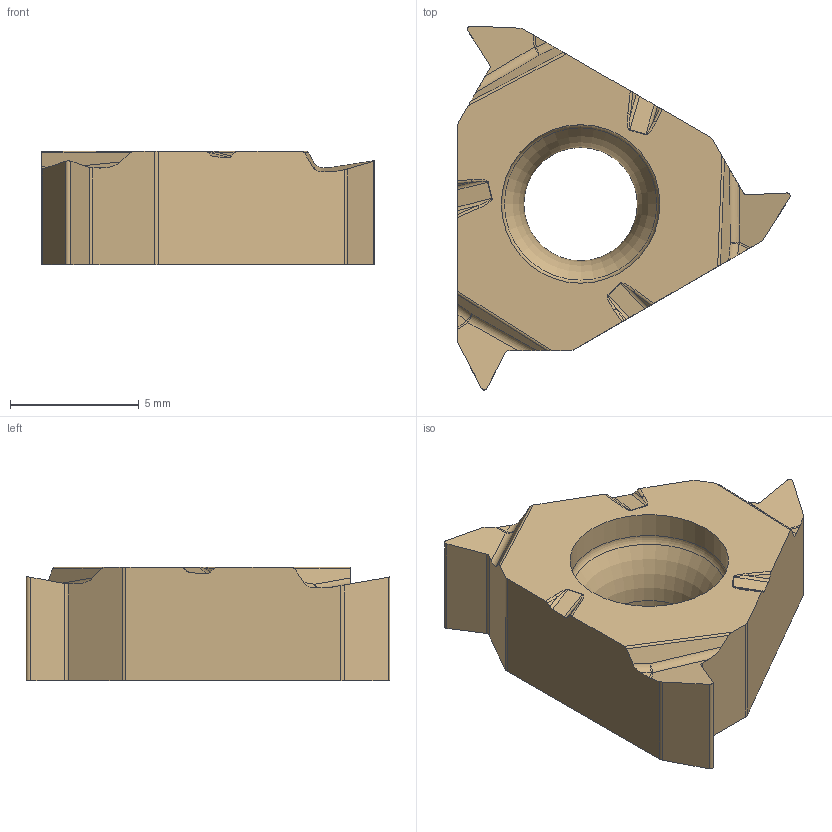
import math

import cadquery as cq

thickness = 4.4
inscribed_radius = 9.525 / 2
tooth_count = 3
tooth_pitch_angle = 360 / tooth_count

tooth_half_angle = math.radians(27.5)
tip_reach = 7.21
tip_radius = 0.12
tip_x = -3.74
shoulder_y = -5.68
outer_corner_radius = 0.3
root_radius = 0.15

bore_radius = 4.4 / 2
recess_radius = 6.15 / 2
flare_radius = 3.4
flare_bottom_z = 0.94
flare_angle = math.radians(39)

tooth_axis_angle = math.radians(30)
rake_angle = math.radians(10)
tip_height = 4.025
groove_rim_x = 5.48
groove_skew = math.radians(2.2)
groove_wall_lean = math.radians(30)
groove_fillet_radius = 0.36
groove_rim_radius = 0.12
ledge_height = 3.605
ledge_tilt = math.radians(7)

notch_inner_end = (-3.52, 0.53)
notch_skew = math.radians(14)
notch_slope = math.radians(10)
notch_floor_width = 0.81
notch_wall_angle = math.radians(45)
notch_fillet_radius = 0.2
notch_rim_radius = 0.15
notch_rim_point = (-4.4, 0.87)

cutter_size = 20.0
notch_cutter_height = 0.6
notch_cutter_length = 2.5

edge_tolerance = 0.01


def turned_point(point, angle):
    """Point turned about the Z axis by an angle in degrees."""
    turn = math.radians(angle)
    x, y = point
    return (
        x * math.cos(turn) - y * math.sin(turn),
        x * math.sin(turn) + y * math.cos(turn),
    )


def for_each_tooth(shape):
    """Copies of a shape turned to every tooth position."""
    return [shape.rotate((0, 0, 0), (0, 0, 1), i * tooth_pitch_angle) for i in range(tooth_count)]


def half_space(point, normal):
    """Large block lying on the side of a plane that its normal points to."""
    plane = cq.Plane(origin=point, normal=normal)
    return cq.Workplane(plane).rect(cutter_size, cutter_size).extrude(cutter_size)


def edges_within(shape, point, reach):
    """Edges that pass within a distance of a point."""
    centre = cq.Vertex.makeVertex(*point)
    return [edge for edge in shape.edges().vals() if edge.distance(centre) < reach]


def make_body():
    flank_slope = math.tan(tooth_half_angle)
    sharp_tip_y = -tip_reach + tip_radius - tip_radius / math.sin(tooth_half_angle)
    flank_start = (-inscribed_radius, sharp_tip_y + (tip_x + inscribed_radius) / flank_slope)
    sharp_tip = (tip_x, sharp_tip_y)
    tooth_root = (tip_x + (shoulder_y - sharp_tip_y) * flank_slope, shoulder_y)
    side_normal = math.radians(-tooth_pitch_angle / 2)
    shoulder_end_x = (inscribed_radius - shoulder_y * math.sin(side_normal)) / math.cos(side_normal)
    shoulder_end = (shoulder_end_x, shoulder_y)

    corners = [
        (flank_start, outer_corner_radius),
        (sharp_tip, tip_radius),
        (tooth_root, root_radius),
        (shoulder_end, outer_corner_radius),
    ]
    turns = [i * tooth_pitch_angle for i in range(tooth_count)]
    outline = [turned_point(point, turn) for turn in turns for point, _ in corners]
    body = cq.Workplane("XY").polyline(outline).close().extrude(thickness)
    for point, radius in corners:
        for turn in turns:
            x, y = turned_point(point, turn)
            edge = cq.selectors.NearestToPointSelector((x, y, thickness / 2))
            body = body.edges("|Z").edges(edge).fillet(radius)
    return body


def make_screw_hole():
    flare_top_radius = bore_radius + flare_radius * (1 - math.cos(flare_angle))
    blend_radius = (recess_radius - flare_top_radius) / (1 - math.cos(flare_angle))
    flare_top_z = flare_bottom_z + flare_radius * math.sin(flare_angle)
    blend_top_z = flare_top_z + blend_radius * math.sin(flare_angle)
    half_angle = flare_angle / 2
    flare_middle = (
        bore_radius + flare_radius * (1 - math.cos(half_angle)),
        flare_bottom_z + flare_radius * math.sin(half_angle),
    )
    blend_middle = (
        recess_radius - blend_radius * (1 - math.cos(half_angle)),
        blend_top_z - blend_radius * math.sin(half_angle),
    )
    return (
        cq.Workplane("XZ")
        .lineTo(bore_radius, 0)
        .lineTo(bore_radius, flare_bottom_z)
        .threePointArc(flare_middle, (flare_top_radius, flare_top_z))
        .threePointArc(blend_middle, (recess_radius, blend_top_z))
        .lineTo(recess_radius, thickness)
        .lineTo(0, thickness)
        .close()
        .revolve(360, (0, 0, 0), (0, 1, 0))
    )


def make_groove_cutter():
    tip_x_turned, tip_y_turned = turned_point((tip_x, -tip_reach), tooth_pitch_angle)
    rake_normal = (
        -math.sin(rake_angle) * math.cos(tooth_axis_angle),
        -math.sin(rake_angle) * math.sin(tooth_axis_angle),
        math.cos(rake_angle),
    )
    wall_normal = (
        math.cos(groove_wall_lean) * math.cos(groove_skew),
        -math.cos(groove_wall_lean) * math.sin(groove_skew),
        math.sin(groove_wall_lean),
    )
    side_normal = tooth_axis_angle - math.pi / 2
    ledge_point = (
        inscribed_radius * math.cos(side_normal),
        inscribed_radius * math.sin(side_normal),
        ledge_height,
    )
    ledge_normal = (
        -math.sin(ledge_tilt) * math.cos(side_normal),
        -math.sin(ledge_tilt) * math.sin(side_normal),
        math.cos(ledge_tilt),
    )
    above_rake = half_space((tip_x_turned, tip_y_turned, tip_height), rake_normal)
    above_ledge = half_space(ledge_point, ledge_normal)
    beyond_wall = half_space((groove_rim_x, 0, thickness), wall_normal)
    groove = above_rake.intersect(above_ledge).intersect(beyond_wall)
    floor_corner = groove.vertices("<Z").val().toTuple()
    floor_edges = edges_within(groove, floor_corner, edge_tolerance)
    return groove.newObject(floor_edges).fillet(groove_fillet_radius)


def make_notch_cutter():
    x, y = notch_inner_end
    outward = (
        -math.cos(notch_slope) * math.cos(notch_skew),
        -math.cos(notch_slope) * math.sin(notch_skew),
        -math.sin(notch_slope),
    )
    across = (math.sin(notch_skew), -math.cos(notch_skew), 0)
    plane = cq.Plane(origin=(x, y, thickness), xDir=across, normal=outward)
    floor_half = notch_floor_width / 2
    top_half = floor_half + notch_cutter_height / math.tan(notch_wall_angle)
    notch = (
        cq.Workplane(plane)
        .moveTo(-floor_half, 0)
        .lineTo(floor_half, 0)
        .lineTo(top_half, notch_cutter_height)
        .lineTo(-top_half, notch_cutter_height)
        .close()
        .extrude(notch_cutter_length)
    )
    floor_middle = plane.toWorldCoords((0, 0, notch_cutter_length / 2))
    floor_sides = edges_within(notch, floor_middle.toTuple(), floor_half + edge_tolerance)
    return notch.newObject(floor_sides).fillet(notch_fillet_radius)


def round_rim(body, rim_point, radius):
    """Round the edge of the top face that lies nearest to a point, on every tooth."""
    for i in range(tooth_count):
        x, y = turned_point(rim_point, i * tooth_pitch_angle)
        edge = cq.selectors.NearestToPointSelector((x, y, thickness))
        body = body.faces(">Z").edges(edge).fillet(radius)
    return body


result = make_body().cut(make_screw_hole())
for groove in for_each_tooth(make_groove_cutter()):
    result = result.cut(groove)
for notch in for_each_tooth(make_notch_cutter()):
    result = result.cut(notch)
result = round_rim(result, (groove_rim_x, 0), groove_rim_radius)
result = round_rim(result, notch_rim_point, notch_rim_radius)